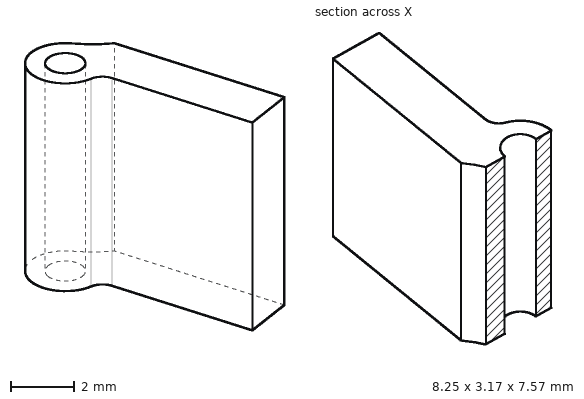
import cadquery as cq
import math

total_length = 8.25
height = 7.57
bore_diameter = 1.27
barrel_radius = bore_diameter
plate_thickness = 1.9
front_fillet_radius = 0.57
back_blend_radius = 3.71

plate_end_x = total_length - barrel_radius
back_corner = (bore_diameter / 2, plate_thickness)


def point_at(center, radius, angle):
    """Point on a circle at an angle in radians."""
    return (center[0] + radius * math.cos(angle), center[1] + radius * math.sin(angle))


front_reach = barrel_radius + front_fillet_radius
front_center = (math.sqrt(front_reach**2 - front_fillet_radius**2), -front_fillet_radius)
front_angle = math.atan2(front_center[1], front_center[0])
front_tangent = point_at((0, 0), barrel_radius, front_angle)
front_start = (front_center[0], 0)
front_mid_angle = (math.pi / 2 + math.pi + front_angle) / 2
front_mid = point_at(front_center, front_fillet_radius, front_mid_angle)

back_reach = barrel_radius + back_blend_radius
corner_distance = math.hypot(*back_corner)
corner_angle = math.atan2(back_corner[1], back_corner[0])
offset_cosine = (back_reach**2 + corner_distance**2 - back_blend_radius**2) / (
    2 * back_reach * corner_distance
)
back_angle = corner_angle + math.acos(offset_cosine)
back_center = point_at((0, 0), back_reach, back_angle)
back_tangent = point_at((0, 0), barrel_radius, back_angle)
back_end_angle = math.atan2(back_corner[1] - back_center[1], back_corner[0] - back_center[0])
back_mid_angle = (back_angle - math.pi + back_end_angle) / 2
back_mid = point_at(back_center, back_blend_radius, back_mid_angle)

barrel_mid = point_at((0, 0), barrel_radius, (front_angle + back_angle - 2 * math.pi) / 2)

body = (
    cq.Workplane("XY")
    .moveTo(plate_end_x, 0)
    .lineTo(*front_start)
    .threePointArc(front_mid, front_tangent)
    .threePointArc(barrel_mid, back_tangent)
    .threePointArc(back_mid, back_corner)
    .lineTo(plate_end_x, plate_thickness)
    .close()
    .extrude(height)
)

bore = cq.Workplane("XY").circle(bore_diameter / 2).extrude(height)

result = body.cut(bore)